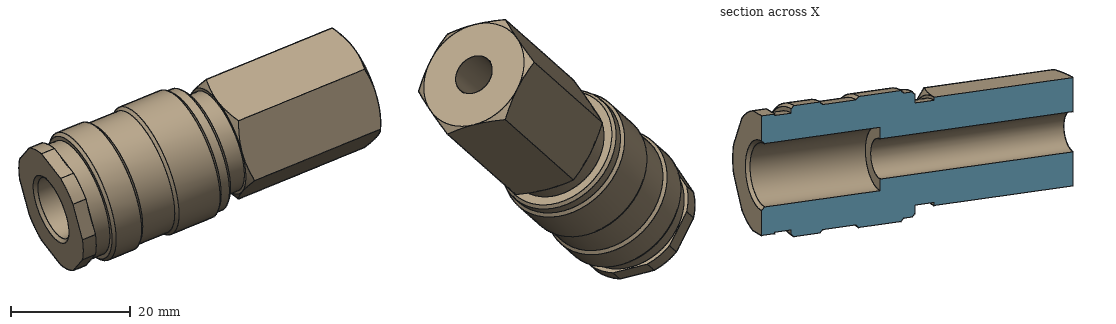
import cadquery as cq
import math

total_length = 58.0

ring_diameter = 23.0
sleeve_diameter = 22.0
front_neck_diameter = 20.55
rear_neck_diameter = 18.0

flange_end = 2.5
front_ring_start = 5.5
front_ring_end = 11.4
rear_ring_start = 17.6
rear_ring_end = 26.5
sleeve_end = 28.6
nut_start = 32.1

edge_chamfer = (ring_diameter - sleeve_diameter) / 2

flange_across_flats = 21.0
nut_across_flats = 19.0
nut_chamfer_angle = 30.0

passage_diameter = 6.95
socket_diameter = 11.0
socket_depth = 22.05
mouth_chamfer = 0.6


def cylinder(diameter, start, end):
    """Round bar along Y between two positions."""
    plane = cq.Workplane("XZ", origin=(0, start, 0))
    return plane.circle(diameter / 2).extrude(start - end)


def hexagon(across_flats, start, end):
    """Hexagonal bar along Y with its corners on the X axis."""
    across_corners = across_flats / math.cos(math.radians(30))
    plane = cq.Workplane("XZ", origin=(0, start, 0))
    return plane.polygon(6, across_corners).extrude(start - end)


def ring(start, end):
    """Raised grip ring, chamfered at both ends."""
    return cylinder(ring_diameter, start, end).faces("<Y or >Y").chamfer(edge_chamfer)


def make_sleeve():
    front_neck = cylinder(front_neck_diameter, flange_end, front_ring_start)
    rear_neck = cylinder(rear_neck_diameter, sleeve_end, nut_start)
    core = cylinder(sleeve_diameter, front_ring_start, sleeve_end)
    core = core.faces(">Y").chamfer(edge_chamfer)
    front_ring = ring(front_ring_start, front_ring_end)
    rear_ring = ring(rear_ring_start, rear_ring_end)
    return core.union(front_ring).union(rear_ring).union(front_neck).union(rear_neck)


def make_flange():
    """Round flange with six flats."""
    disc = cylinder(sleeve_diameter, 0, flange_end)
    return disc.intersect(hexagon(flange_across_flats, 0, flange_end))


def make_nut():
    """Hexagonal nut whose corners are turned off conically at both ends."""
    face_radius = nut_across_flats / 2
    corner_radius = face_radius / math.cos(math.radians(30))
    corner_setback = (corner_radius - face_radius) * math.tan(math.radians(nut_chamfer_angle))
    turned_blank = (
        cq.Workplane("XY")
        .moveTo(0, nut_start)
        .lineTo(face_radius, nut_start)
        .lineTo(corner_radius, nut_start + corner_setback)
        .lineTo(corner_radius, total_length - corner_setback)
        .lineTo(face_radius, total_length)
        .lineTo(0, total_length)
        .close()
        .revolve(360, (0, 0, 0), (0, 1, 0))
    )
    return hexagon(nut_across_flats, nut_start, total_length).intersect(turned_blank)


def make_bore():
    """Through passage with a wider socket and a chamfered mouth."""
    mouth_radius = socket_diameter / 2 + mouth_chamfer
    mouth = (
        cq.Workplane("XY")
        .lineTo(mouth_radius, 0)
        .lineTo(socket_diameter / 2, mouth_chamfer)
        .lineTo(0, mouth_chamfer)
        .close()
        .revolve(360, (0, 0, 0), (0, 1, 0))
    )
    socket = cylinder(socket_diameter, 0, socket_depth)
    passage = cylinder(passage_diameter, 0, total_length)
    return passage.union(socket).union(mouth)


body = make_sleeve().union(make_flange()).union(make_nut())
result = body.cut(make_bore())